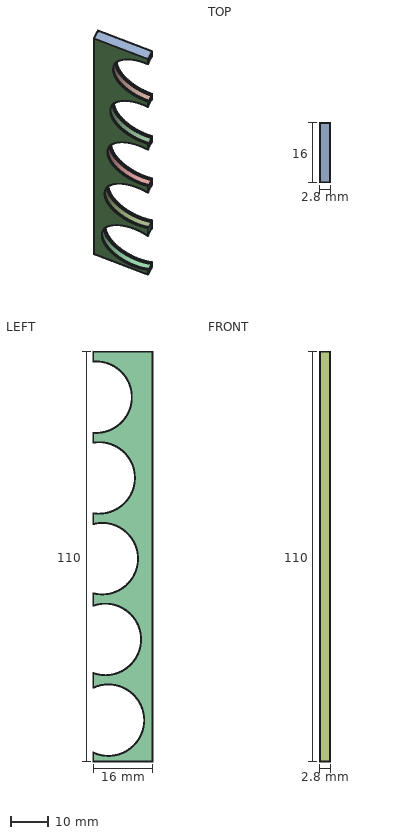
import cadquery as cq

thickness = 2.8
width = 16.0
height = 110.0

notch_count = 5
notch_radius = 9.6
notch_pitch = 21.7
first_notch_height = 11.1
last_notch_inset = 0.8
inset_step = 0.82

lip_thickness = 0.4
groove_depth = 0.38


def make_plate():
    """Plate with its lower -X, -Y, -Z corner at the origin."""
    return cq.Workplane("XY").box(thickness, width, height, centered=False)


def make_notch_cutter(index):
    """Disc along X that cuts one notch, with a wider disc for its groove."""
    inset = last_notch_inset + inset_step * (notch_count - 1 - index)
    centre_y = width - inset
    centre_z = first_notch_height + notch_pitch * index
    opening = (
        cq.Workplane("YZ")
        .center(centre_y, centre_z)
        .circle(notch_radius)
        .extrude(thickness)
    )
    groove = (
        cq.Workplane("YZ")
        .workplane(offset=lip_thickness)
        .center(centre_y, centre_z)
        .circle(notch_radius + groove_depth)
        .extrude(thickness - 2 * lip_thickness)
    )
    return opening.union(groove)


result = make_plate()
for notch_index in range(notch_count):
    result = result.cut(make_notch_cutter(notch_index))